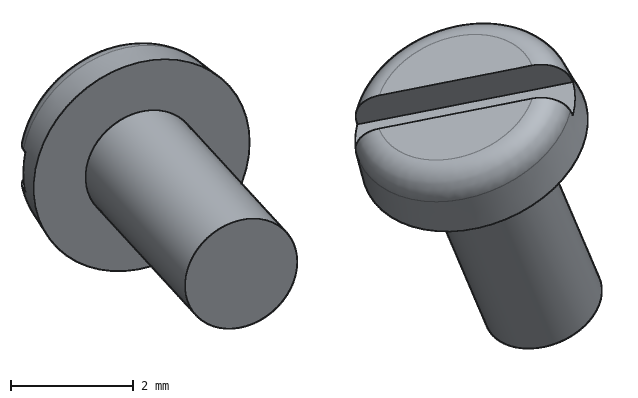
import cadquery as cq
import math

total_length = 5.13
head_diameter = 3.85
head_height = 1.125
head_taper_angle = 6.0
head_edge_radius = 0.51
shank_diameter = 2.0
slot_width = 0.735
slot_depth = 0.57

head_radius = head_diameter / 2
shank_radius = shank_diameter / 2
head_face_radius = head_radius - head_height * math.tan(math.radians(head_taper_angle))


def make_head():
    """Tapered disc with a rounded rim around the slotted face."""
    profile = (
        cq.Workplane("XY")
        .polyline([
            (0, 0),
            (0, head_face_radius),
            (head_height, head_radius),
            (head_height, 0),
        ])
        .close()
    )
    head = profile.revolve(360, (0, 0, 0), (1, 0, 0))
    return head.faces("<X").edges().fillet(head_edge_radius)


def make_shank():
    """Plain cylinder from the back of the head to the tip."""
    return (
        cq.Workplane("YZ", origin=(head_height, 0, 0))
        .circle(shank_radius)
        .extrude(total_length - head_height)
    )


def make_slot():
    """Straight driver slot running right across the head along Y."""
    return cq.Workplane("XY").box(
        slot_depth, head_diameter, slot_width, centered=(False, True, True)
    )


result = make_head().union(make_shank()).cut(make_slot())